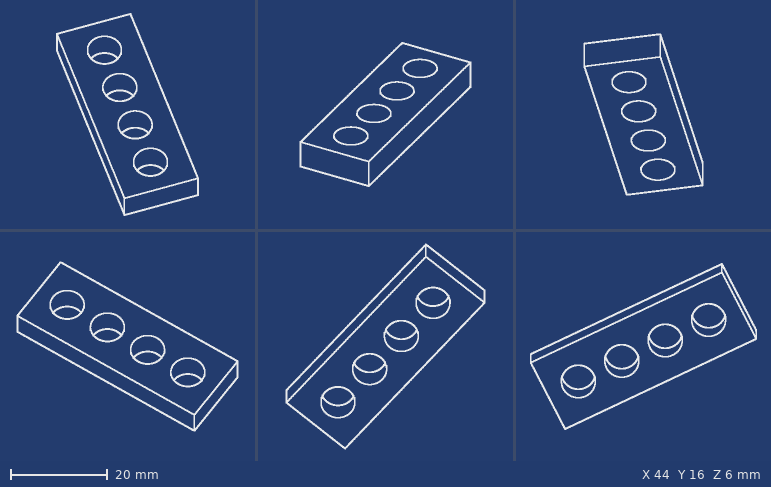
import cadquery as cq

length = 44.0
width = 16.0
thickness = 6.0

hole_count = 4
hole_diameter = 7.0
hole_pitch = 10.0

plate = cq.Workplane("XY").box(length, width, thickness)

result = (
    plate.faces(">Z")
    .workplane()
    .rarray(hole_pitch, 0.45, hole_count, 1)
    .hole(hole_diameter)
)